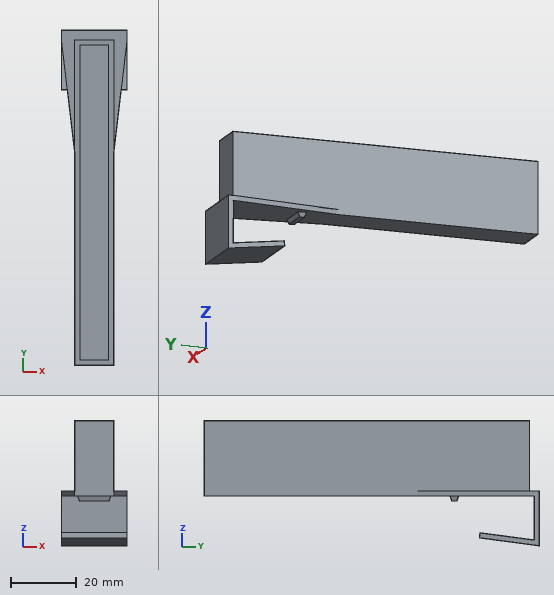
import cadquery as cq
import math

overall_length = 102.0
wall = 1.6

tray_width = 12.0
tray_height = 23.0
tray_setback = 3.0
tray_length = overall_length - tray_setback

clip_width = 20.0
clip_drop = 15.13
lip_angle = 7.6
lip_reach = 18.3

plate_length = 37.0
taper_start = tray_setback

rib_distance = 25.9
rib_width = 10.0
rib_depth = 2.6
rib_height = 1.5
rib_draw_in = 0.5


def make_tray():
    """Rectangular box with a closed floor and an open top."""
    center_y = -tray_setback - tray_length / 2
    outer = cq.Workplane("XY").center(0, center_y).rect(tray_width, tray_length).extrude(tray_height)
    cavity = (
        cq.Workplane("XY", origin=(0, center_y, wall))
        .rect(tray_width - 2 * wall, tray_length - 2 * wall)
        .extrude(tray_height - wall)
    )
    return outer.cut(cavity)


def make_plate():
    """Flat plate, level with the tray floor, with both sides tapering onto the tray."""
    half_clip = clip_width / 2
    half_tray = tray_width / 2
    outline = [
        (-half_clip, 0),
        (half_clip, 0),
        (half_clip, -taper_start),
        (half_tray, -plate_length),
        (-half_tray, -plate_length),
        (-half_clip, -taper_start),
    ]
    return cq.Workplane("XY").polyline(outline).close().extrude(wall)


def make_hook():
    """Rear wall and a lip that rises towards its free end, as one bent profile in YZ."""
    angle = math.radians(lip_angle)
    rise = math.tan(angle)
    lip_bottom = -clip_drop + lip_reach * rise
    inner_corner = -clip_drop + wall * rise + wall / math.cos(angle)
    profile = [
        (0, wall),
        (0, -clip_drop),
        (-lip_reach, lip_bottom),
        (-lip_reach + wall * math.sin(angle), lip_bottom + wall * math.cos(angle)),
        (-wall, inner_corner),
        (-wall, wall),
    ]
    return cq.Workplane("YZ").polyline(profile).close().extrude(clip_width / 2, both=True)


def make_rib():
    """Catch rib whose four sides draw in downwards."""
    draft = math.degrees(math.atan(rib_draw_in / rib_height))
    return (
        cq.Workplane("XY")
        .center(0, -rib_distance)
        .rect(rib_width, rib_depth)
        .extrude(-rib_height, taper=draft)
    )


result = make_tray().union(make_plate()).union(make_hook()).union(make_rib())